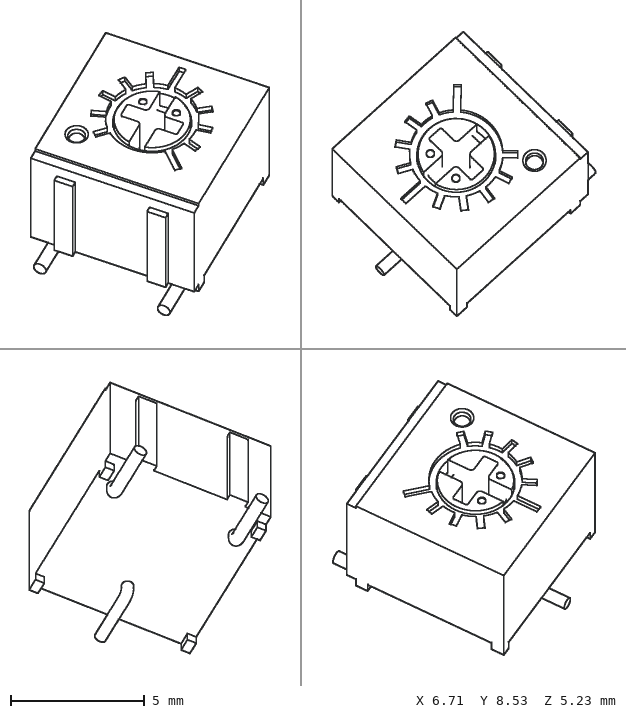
import cadquery as cq
import math


BODY_WIDTH = 6.71
BODY_REAR = 3.21
BODY_FRONT = -3.61
TOP_Z = 5.23
BASE_Z = 0.715
TOP_STEP_DEPTH = 0.12
LID_FRONT = -BODY_REAR

RIB_WIDTH = 0.76
RIB_PROJECTION = 0.24
RIB_TOP_Z = 4.6
RIB_SPACING = 3.81

FOOT_WIDTH = 0.37
FOOT_BOTTOM_Z = 0.33
REAR_FOOT_LENGTH = 0.54
FRONT_FOOT_LENGTH = 0.51

PIN_ROW_CENTER_X = -0.012
FRONT_PIN_DIAMETER = 0.51
FRONT_PIN_PITCH = 5.08
FRONT_PIN_Y = -2.28
FRONT_PIN_TIP = -4.55
FRONT_BEND_RADIUS = 0.26
REAR_PIN_DIAMETER = 0.46
REAR_PIN_Y = 1.67
REAR_PIN_TIP = 3.98
REAR_BEND_RADIUS = 0.32
PIN_EMBEDMENT = 0.2

DIAL_DEPTH = 0.22
DIAL_RADIUS = 1.745
TICK_WIDTH = 0.28
TICK_STEP = 27
TICKS_PER_SIDE = 5
SHORT_TICK_RADIUS = 2.3
LONG_TICK_RADIUS = 2.75

BORE_DIAMETER = 2.95
ROTOR_DIAMETER = 2.85
ROTOR_HEIGHT = 0.15
SLOT_WIDTH = 0.64
SLOT_DEPTH = 1.45
SLOT_RAMP_OUTER = 1.157
SLOT_RAMP_INNER = 0.5
SLOT_SHELF_DEPTH = 0.8
SLOT_CORNER_RADIUS = 0.15
SLOT_BOTTOM_FILLET = 0.07

ROTOR_MARK_DIAMETER = 0.3
ROTOR_MARK_DEPTH = 0.05
ROTOR_MARK_X = 0.687
ROTOR_MARK_Y = 0.68

BALL_X = -2.24
BALL_Y = -1.905
BALL_DIAMETER = 0.66
BALL_TOP_DEPTH = 0.09
COUNTERSINK_DIAMETER = 0.87
COUNTERSINK_DEPTH = 0.09

DIAL_FLOOR_Z = TOP_Z - DIAL_DEPTH
ROTOR_TOP_Z = DIAL_FLOOR_Z + ROTOR_HEIGHT


def block(x_range, y_range, z_range):
    """Box spanning the given (low, high) limits."""
    size = [high - low for low, high in (x_range, y_range, z_range)]
    corner = (x_range[0], y_range[0], z_range[0])
    return cq.Workplane("XY").box(*size, centered=False).translate(corner)


def cylinder(diameter, x, y, bottom_z, top_z):
    """Upright cylinder between two heights."""
    plane = cq.Workplane("XY", origin=(x, y, bottom_z))
    return plane.circle(diameter / 2).extrude(top_z - bottom_z)


def make_housing():
    """Block with a low step along the top front edge, four feet and two ribs."""
    half_width = BODY_WIDTH / 2
    step_z = TOP_Z - TOP_STEP_DEPTH
    full_width = (-half_width, half_width)
    housing = block(full_width, (BODY_FRONT, BODY_REAR), (BASE_Z, step_z))
    housing = housing.union(block(full_width, (LID_FRONT, BODY_REAR), (BASE_Z, TOP_Z)))

    front_foot_y = (LID_FRONT, LID_FRONT + FRONT_FOOT_LENGTH)
    rear_foot_y = (BODY_REAR - REAR_FOOT_LENGTH, BODY_REAR)
    left_foot_x = (-half_width, FOOT_WIDTH - half_width)
    right_foot_x = (half_width - FOOT_WIDTH, half_width)
    for foot_x in (left_foot_x, right_foot_x):
        for foot_y in (front_foot_y, rear_foot_y):
            housing = housing.union(block(foot_x, foot_y, (FOOT_BOTTOM_Z, step_z)))

    for rib_x in (-RIB_SPACING / 2, RIB_SPACING / 2):
        rib = block(
            (rib_x - RIB_WIDTH / 2, rib_x + RIB_WIDTH / 2),
            (BODY_FRONT - RIB_PROJECTION, LID_FRONT),
            (BASE_Z, RIB_TOP_Z),
        )
        housing = housing.union(rib)
    return housing


def make_pin(x, y, tip_y, diameter, bend_radius):
    """Round wire leaving the base downward and bending outward to tip_y."""
    outward = math.copysign(1, tip_y)
    axis_z = diameter / 2
    start_z = BASE_Z + PIN_EMBEDMENT
    bend_inset = bend_radius * (1 - math.sqrt(0.5))
    path = (
        cq.Workplane("YZ", origin=(x, 0, 0))
        .moveTo(y, start_z)
        .lineTo(y, axis_z + bend_radius)
        .threePointArc(
            (y + outward * bend_inset, axis_z + bend_inset),
            (y + outward * bend_radius, axis_z),
        )
        .lineTo(tip_y, axis_z)
    )
    return cq.Workplane("XY", origin=(x, y, start_z)).circle(diameter / 2).sweep(path)


def make_tick(angle, outer_radius):
    """Radial bar of the dial; the angle runs clockwise from +Y."""
    half_width = TICK_WIDTH / 2
    tick = block((-half_width, half_width), (0, outer_radius), (DIAL_FLOOR_Z, TOP_Z))
    return tick.rotate((0, 0, 0), (0, 0, 1), -angle)


def make_dial_recess():
    """Round recess with ticks; the top tick and the last clockwise tick are long."""
    recess = cylinder(2 * DIAL_RADIUS, 0, 0, DIAL_FLOOR_Z, TOP_Z)
    for index in range(-TICKS_PER_SIDE, TICKS_PER_SIDE + 1):
        is_long = index in (0, TICKS_PER_SIDE)
        outer_radius = LONG_TICK_RADIUS if is_long else SHORT_TICK_RADIUS
        recess = recess.union(make_tick(index * TICK_STEP, outer_radius))
    return recess


def make_rotor_gap():
    """Annular gap between the rotor and its bore in the dial floor."""
    gap_floor_z = ROTOR_TOP_Z - SLOT_DEPTH
    bore = cylinder(BORE_DIAMETER, 0, 0, gap_floor_z, TOP_Z)
    return bore.cut(cylinder(ROTOR_DIAMETER, 0, 0, gap_floor_z, ROTOR_TOP_Z))


def make_slot_arm(plane, half_profile):
    """Slot arm cutter from one half of its lengthwise profile."""
    mirrored = [(-distance, z) for distance, z in reversed(half_profile)]
    outline = cq.Workplane(plane).polyline(half_profile + mirrored).close()
    return outline.extrude(SLOT_WIDTH / 2, both=True)


def centered_region(reach, top_z):
    """Selector for what lies within reach of the rotor axis in X and Y, up to top_z."""
    return cq.selectors.BoxSelector((-reach, -reach, 0), (reach, reach, top_z))


def make_driver_slot():
    """Cross slot: the X arm ramps up to the rotor top, the Y arm ramps to open shelves."""
    floor_z = ROTOR_TOP_Z - SLOT_DEPTH
    shelf_z = ROTOR_TOP_Z - SLOT_SHELF_DEPTH
    bore_radius = BORE_DIAMETER / 2
    ramp_foot = (SLOT_RAMP_INNER, floor_z)
    x_arm = make_slot_arm("XZ", [ramp_foot, (SLOT_RAMP_OUTER, ROTOR_TOP_Z)])
    y_arm = make_slot_arm(
        "YZ",
        [ramp_foot, (SLOT_RAMP_OUTER, shelf_z), (bore_radius, shelf_z), (bore_radius, ROTOR_TOP_Z)],
    )

    inner_corners = centered_region(SLOT_WIDTH, TOP_Z)
    below_rotor_top = centered_region(bore_radius, ROTOR_TOP_Z - SLOT_BOTTOM_FILLET)
    slot = x_arm.union(y_arm)
    slot = slot.edges("|Z").edges(inner_corners).fillet(SLOT_CORNER_RADIUS)

    floor_edges = slot.faces("<Z").edges()
    ramp_edges = slot.edges("not (|X or |Y or |Z)").edges(below_rotor_top)
    shelf_edges = slot.faces("<Z[1]").edges("|Y")
    slot = floor_edges.add(ramp_edges).add(shelf_edges).fillet(SLOT_BOTTOM_FILLET)
    return slot.intersect(cylinder(ROTOR_DIAMETER, 0, 0, 0, TOP_Z))


def make_ball_hole():
    """Countersunk bore that leaves a hemisphere standing inside."""
    mouth_radius = COUNTERSINK_DIAMETER / 2
    ball_radius = BALL_DIAMETER / 2
    seat_z = -BALL_TOP_DEPTH - ball_radius
    arc_reach = ball_radius * math.sqrt(0.5)
    hole = (
        cq.Workplane("XZ")
        .lineTo(mouth_radius, 0)
        .lineTo(ball_radius, -COUNTERSINK_DEPTH)
        .lineTo(ball_radius, seat_z)
        .threePointArc((arc_reach, seat_z + arc_reach), (0, -BALL_TOP_DEPTH))
        .close()
        .revolve(360, (0, 0, 0), (0, 1, 0))
    )
    return hole.translate((BALL_X, BALL_Y, TOP_Z))


def make_rotor_marks():
    """Pair of shallow round marks sunk into the rotor top."""
    floor_z = ROTOR_TOP_Z - ROTOR_MARK_DEPTH
    left_mark = cylinder(ROTOR_MARK_DIAMETER, -ROTOR_MARK_X, ROTOR_MARK_Y, floor_z, ROTOR_TOP_Z)
    return left_mark.union(left_mark.mirror("YZ"))


def make_front_pin(offset_x):
    """Front pin at an offset from the middle of the pin row."""
    return make_pin(
        PIN_ROW_CENTER_X + offset_x, FRONT_PIN_Y, FRONT_PIN_TIP, FRONT_PIN_DIAMETER, FRONT_BEND_RADIUS
    )


def make_rear_pin():
    """Single rear pin on the middle of the pin row."""
    return make_pin(PIN_ROW_CENTER_X, REAR_PIN_Y, REAR_PIN_TIP, REAR_PIN_DIAMETER, REAR_BEND_RADIUS)


part = make_housing().cut(make_dial_recess())
part = part.union(cylinder(ROTOR_DIAMETER, 0, 0, BASE_Z, ROTOR_TOP_Z))
part = part.cut(make_rotor_gap())

part = part.cut(make_driver_slot())
part = part.cut(make_rotor_marks())
part = part.cut(make_ball_hole())

part = part.union(make_front_pin(-FRONT_PIN_PITCH / 2))
part = part.union(make_front_pin(FRONT_PIN_PITCH / 2))
result = part.union(make_rear_pin())